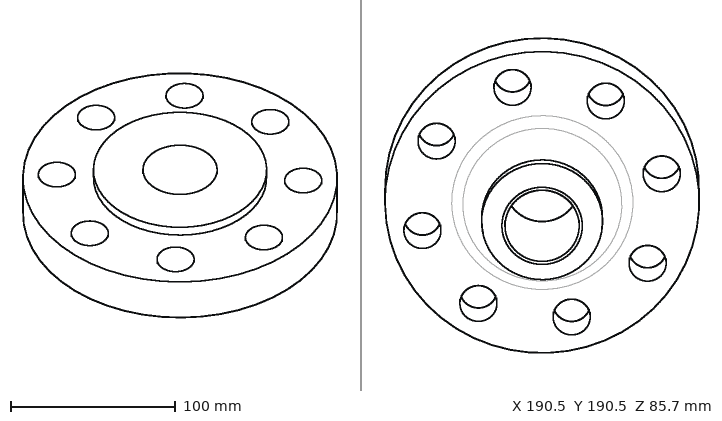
import cadquery as cq
import math

total_height = 85.7
flange_diameter = 190.5
flange_thickness = 29.0
raised_face_diameter = 105.0
raised_face_height = 6.3

bevel_height = 9.1
bevel_end_diameter = 48.8
neck_diameter = 73.3
neck_height = 7.8
hub_diameter = 96.4
root_fillet_height = 4.5

bore_diameter = 45.0
bolt_hole_diameter = 22.5
bolt_circle_diameter = 149.4
bolt_hole_count = 8

neck_bottom = bevel_height
neck_top = neck_bottom + neck_height
flange_top = total_height - raised_face_height
flange_bottom = flange_top - flange_thickness
taper_top = flange_bottom - root_fillet_height

neck_radius = neck_diameter / 2
hub_radius = hub_diameter / 2
taper_angle = math.atan2(taper_top - neck_top, hub_radius - neck_radius)
fillet_radius = root_fillet_height / (1 - math.cos(taper_angle))
fillet_center_x = hub_radius + fillet_radius * math.sin(taper_angle)
fillet_center_z = flange_bottom - fillet_radius
fillet_mid_angle = math.pi / 2 + taper_angle / 2
fillet_middle = (
    fillet_center_x + fillet_radius * math.cos(fillet_mid_angle),
    fillet_center_z + fillet_radius * math.sin(fillet_mid_angle),
)


def revolved_body():
    """Solid of revolution about Z, with the bore left open."""
    bore_radius = bore_diameter / 2
    flange_radius = flange_diameter / 2
    raised_face_radius = raised_face_diameter / 2
    return (
        cq.Workplane("XZ")
        .moveTo(bore_radius, 0)
        .lineTo(bevel_end_diameter / 2, 0)
        .lineTo(neck_radius, neck_bottom)
        .lineTo(neck_radius, neck_top)
        .lineTo(hub_radius, taper_top)
        .threePointArc(fillet_middle, (fillet_center_x, flange_bottom))
        .lineTo(flange_radius, flange_bottom)
        .lineTo(flange_radius, flange_top)
        .lineTo(raised_face_radius, flange_top)
        .lineTo(raised_face_radius, total_height)
        .lineTo(bore_radius, total_height)
        .close()
        .revolve(360, (0, 0), (0, 1))
    )


def bolt_holes():
    """Ring of cylinders through the flange, the first one on +X."""
    return (
        cq.Workplane("XY", origin=(0, 0, flange_bottom))
        .polarArray(bolt_circle_diameter / 2, 0, 360, bolt_hole_count)
        .circle(bolt_hole_diameter / 2)
        .extrude(flange_thickness)
    )


result = revolved_body().cut(bolt_holes())